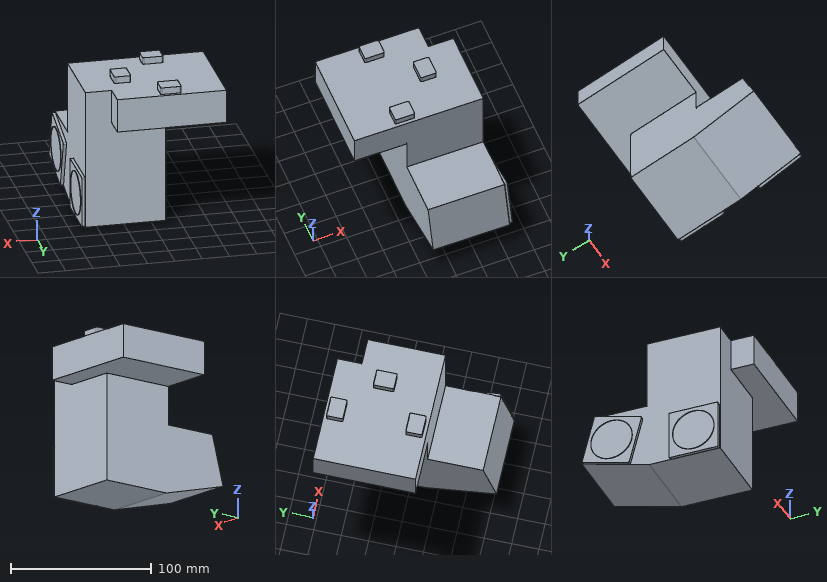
import cadquery as cq
import math

total_depth = 125.2
body_width = 99.2
body_height = 104.0
slab_thickness = 24.9
slab_depth = 74.8
slab_back_width = 80.0
back_step = 17.9
column_left = 40.3
column_back = total_depth - back_step
slab_front = total_depth - slab_depth

nose_tilt = 15.0
nose_top = 50.8
nose_tip_height = 14.0
nose_slope = math.tan(math.radians(nose_tilt))
nose_top_setback = (nose_top - nose_tip_height) * nose_slope
nose_bottom_setback = nose_tip_height / nose_slope

pad_length = 15.0
pad_width = 12.0
pad_height = 5.0
pad_edge_margin = 2.5
pair_pad_x = 40.0
single_pad_x = 69.2
corner_radius = 1.0

plate_size = 38.0
plate_thickness = 2.4
disc_diameter = 32.0
disc_thickness = 0.4
front_plate_center = (24.2, 27.4)
back_plate_center = (87.5, 19.1)


def make_slab():
    """L-shaped upper slab with its back right corner cut away."""
    outline = [
        (0, slab_front),
        (body_width, slab_front),
        (body_width, column_back),
        (slab_back_width, column_back),
        (slab_back_width, total_depth),
        (0, total_depth),
    ]
    slab_bottom = body_height - slab_thickness
    return cq.Workplane("XY").workplane(offset=slab_bottom).polyline(outline).close().extrude(slab_thickness)


def make_column():
    """Column and tilted nose, drawn in the YZ plane and extruded along X."""
    profile = [
        (column_back, 0),
        (column_back, body_height),
        (slab_front, body_height),
        (slab_front, nose_top),
        (nose_top_setback, nose_top),
        (0, nose_tip_height),
        (nose_bottom_setback, 0),
    ]
    column_width = body_width - column_left
    return cq.Workplane("YZ").workplane(offset=column_left).polyline(profile).close().extrude(column_width)


def make_pad(x, y, size_x, size_y):
    """Rounded rectangular pad standing on the slab."""
    pad = cq.Workplane("XY").rect(size_x, size_y).extrude(pad_height).edges("|Z").fillet(corner_radius)
    return pad.translate((x, y, body_height))


def make_side_plate(center, tilt):
    """Rounded square plate on the +X face, carrying a concentric disc."""
    plate = cq.Workplane("YZ").rect(plate_size, plate_size).extrude(plate_thickness)
    plate = plate.edges("|X").fillet(corner_radius)
    plate = plate.faces(">X").workplane().circle(disc_diameter / 2).extrude(disc_thickness)
    y, z = center
    return plate.rotate((0, 0, 0), (1, 0, 0), tilt).translate((body_width, y, z))


result = make_slab().union(make_column())

pair_pad_inset = pad_edge_margin + pad_width / 2
for pad_y in (slab_front + pair_pad_inset, total_depth - pair_pad_inset):
    result = result.union(make_pad(pair_pad_x, pad_y, pad_length, pad_width))
slab_middle = slab_front + slab_depth / 2
result = result.union(make_pad(single_pad_x, slab_middle, pad_width, pad_length))

result = result.union(make_side_plate(front_plate_center, -nose_tilt))
result = result.union(make_side_plate(back_plate_center, 0))